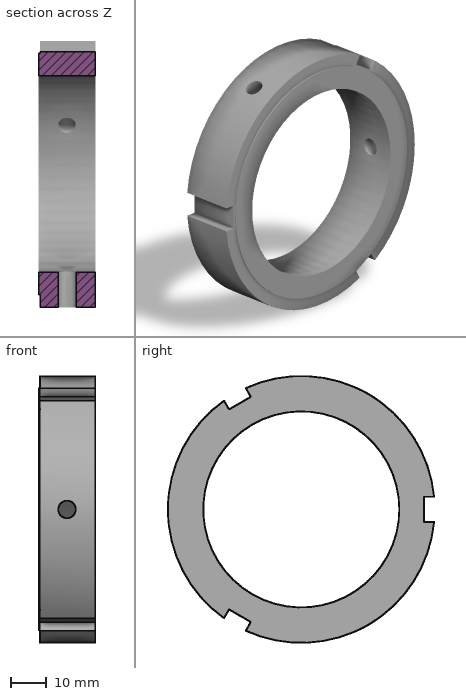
import cadquery as cq

OUTER_DIAMETER = 75.0
BORE_DIAMETER = 55.0
WIDTH = 16.0

FACE_DIAMETER = 68.0
FACE_HEIGHT = 0.4

SLOT_COUNT = 3
SLOT_WIDTH = 7.0
SLOT_DEPTH = 3.0

HOLE_DIAMETER = 4.92
HOLE_X = WIDTH / 2

OUTER_RADIUS = OUTER_DIAMETER / 2
PITCH_ANGLE = 360.0 / SLOT_COUNT
CUT_MARGIN = 1.0


def ring_body():
    """Outer ring and raised contact face, with the bore cut through both."""
    ring_start = cq.Workplane("YZ", origin=(FACE_HEIGHT, 0, 0))
    ring = ring_start.circle(OUTER_RADIUS).extrude(WIDTH - FACE_HEIGHT)
    face = cq.Workplane("YZ").circle(FACE_DIAMETER / 2).extrude(WIDTH)
    bore = cq.Workplane("YZ").circle(BORE_DIAMETER / 2).extrude(WIDTH)
    return ring.union(face).cut(bore)


def slot_cutter(angle):
    """Full-width rectangular slot, turned about X from the +Y direction."""
    floor_radius = OUTER_RADIUS - SLOT_DEPTH
    cutter = cq.Workplane("XY").box(
        WIDTH, SLOT_DEPTH + CUT_MARGIN, SLOT_WIDTH, centered=(False, False, True)
    )
    return cutter.translate((0, floor_radius, 0)).rotate((0, 0, 0), (1, 0, 0), angle)


def hole_cutter(angle):
    """Radial hole from the axis outwards, turned about X from the -Y direction."""
    hole_start = cq.Workplane("XZ", origin=(HOLE_X, 0, 0))
    cutter = hole_start.circle(HOLE_DIAMETER / 2).extrude(OUTER_RADIUS + CUT_MARGIN)
    return cutter.rotate((0, 0, 0), (1, 0, 0), angle)


result = ring_body()
for index in range(SLOT_COUNT):
    turn = index * PITCH_ANGLE
    result = result.cut(slot_cutter(turn)).cut(hole_cutter(turn))